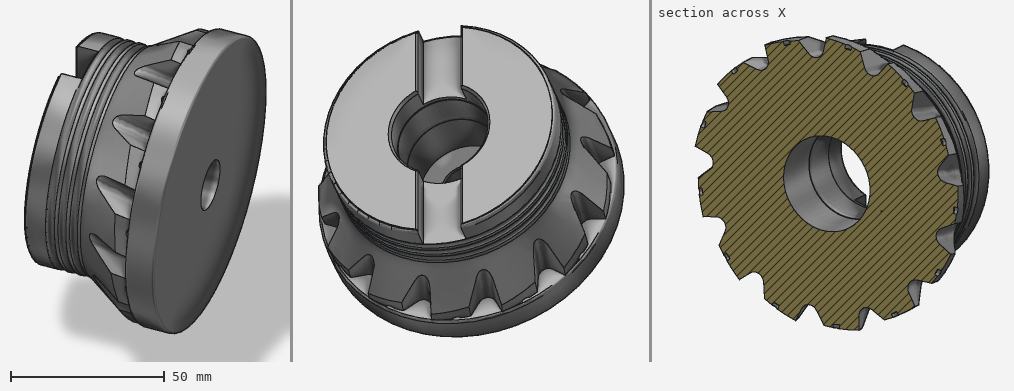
import cadquery as cq
import math

length = 50.1
flange_radius = 50.0
flange_start = 39.9
flange_fillet = 0.8
neck_radius = 39.0
neck_fillet = 1.0
lip_radius = 37.8
lip_length = 0.5
cone_start = 20.0
cone_angle = 32.6
crown_radius = 49.4

groove_centers = (9.5, 13.5, 17.5)
groove_arc_radius = 1.5
groove_edge_width = 3.3
groove_edge_radius = 0.3
groove_clearance = 0.1

slot_width = 14.4
slot_depth = 8.0
slot_chamfer = 0.6

bore_radius = 16.0
bore_chamfer = 1.0
bore_depth = 40.0
bore_step_height = 0.15
entry_end = 9.4
ring_start = 20.8
ring_end = 22.6
ring_bevel = 0.8
entry_bevel = 0.3
hole_radius = 8.5
hole_chamfer = 0.5

tooth_count = 13
tooth_pitch = 360.0 / tooth_count
tooth_step_angle = -3.0
tooth_high_radius = 49.6
tooth_low_radius = 47.4

flute_radius = 3.1
flute_center_y = -4.5
flute_center_z = 45.3
flute_steep_angle = 13.7
flute_shallow_angle = 45.0
flute_wall_length = 16.0
flute_skew = 0.19
flute_rise = 0.035
flute_length = 22.0

notch_radius = 1.5
notch_x = 40.5
notch_angle = 9.6
notch_floor_radius = 47.3


def polar(radius, angle):
    """Point (y, z) at an angle measured from +Z toward +Y."""
    return (radius * math.sin(math.radians(angle)), radius * math.cos(math.radians(angle)))


def revolve_about_x(profile):
    """Revolve a closed (x, radius) profile round the X axis."""
    return profile.close().revolve(360, (0, 0, 0), (1, 0, 0))


def make_neck():
    """Front cylinder and cone, up to the front of the flange."""
    crown_start = cone_start + (crown_radius - neck_radius) / math.tan(math.radians(cone_angle))
    fillet_mid = neck_fillet * (1 - math.sqrt(0.5))
    profile = (
        cq.Workplane("XY")
        .lineTo(0, lip_radius)
        .lineTo(lip_length, lip_radius)
        .lineTo(lip_length, neck_radius - neck_fillet)
        .threePointArc(
            (lip_length + fillet_mid, neck_radius - fillet_mid),
            (lip_length + neck_fillet, neck_radius),
        )
        .lineTo(cone_start, neck_radius)
        .lineTo(crown_start, crown_radius)
        .lineTo(flange_start, crown_radius)
        .lineTo(flange_start, 0)
    )
    return revolve_about_x(profile)


def make_groove(center):
    """Round-bottomed ring groove with rounded edges."""
    half_edge = groove_edge_width / 2
    half_arc = half_edge - groove_edge_radius
    arc_end_radius = neck_radius - groove_edge_radius
    arc_sag = groove_arc_radius - math.sqrt(groove_arc_radius**2 - half_arc**2)
    round_inset = groove_edge_radius * (1 - math.sqrt(0.5))
    half_round = half_arc + round_inset
    round_mid_radius = neck_radius - round_inset
    profile = (
        cq.Workplane("XY")
        .moveTo(center - half_edge, neck_radius + groove_clearance)
        .lineTo(center - half_edge, neck_radius)
        .threePointArc((center - half_round, round_mid_radius), (center - half_arc, arc_end_radius))
        .threePointArc((center, arc_end_radius - arc_sag), (center + half_arc, arc_end_radius))
        .threePointArc((center + half_round, round_mid_radius), (center + half_edge, neck_radius))
        .lineTo(center + half_edge, neck_radius + groove_clearance)
    )
    return revolve_about_x(profile)


def make_tooth_outline():
    """Bar whose section is a ring of eccentric arcs, each dropping from a peak to the next step."""
    first = tooth_step_angle
    outline = cq.Workplane("YZ").moveTo(*polar(tooth_high_radius, first))
    for index in range(tooth_count):
        start = first + index * tooth_pitch
        middle = polar((tooth_high_radius + tooth_low_radius) / 2, start + tooth_pitch / 2)
        outline = outline.threePointArc(middle, polar(tooth_low_radius, start + tooth_pitch))
        if index < tooth_count - 1:
            outline = outline.lineTo(*polar(tooth_high_radius, start + tooth_pitch))
    return outline.close().extrude(flange_start)


def make_flute():
    """V cutter with a round bottom, swept forward from the flange along a skewed line."""

    def wall(angle, side):
        direction = polar(1, angle)
        tangent = (
            flute_center_y + side * flute_radius * direction[1],
            flute_center_z - side * flute_radius * direction[0],
        )
        outer = (
            tangent[0] + flute_wall_length * direction[0],
            tangent[1] + flute_wall_length * direction[1],
        )
        return tangent, outer

    steep_tangent, steep_outer = wall(flute_steep_angle, 1)
    shallow_tangent, shallow_outer = wall(-flute_shallow_angle, -1)
    bottom_y, bottom_z = polar(flute_radius, (flute_steep_angle - flute_shallow_angle) / 2)
    section = (
        cq.Workplane("YZ", origin=(flange_start, 0, 0))
        .moveTo(*steep_outer)
        .lineTo(*steep_tangent)
        .threePointArc((flute_center_y - bottom_y, flute_center_z - bottom_z), shallow_tangent)
        .lineTo(*shallow_outer)
        .close()
    )
    sweep = cq.Vector(-1, flute_skew, -flute_rise) * flute_length
    return cq.Workplane(cq.Solid.extrudeLinear(section.val(), [], sweep))


def make_notch():
    """Radial pin that marks the crown of a tooth next to the flange."""
    pin = (
        cq.Workplane("XY", origin=(0, 0, notch_floor_radius))
        .center(notch_x, 0)
        .circle(notch_radius)
        .extrude(flange_radius - notch_floor_radius)
    )
    return pin.rotate((0, 0, 0), (1, 0, 0), -notch_angle)


def make_slot():
    """Slot across the front face with bevelled edges."""
    half = slot_width / 2
    half_open = half + slot_chamfer
    points = [
        (0, -half_open),
        (slot_chamfer, -half),
        (slot_depth, -half),
        (slot_depth, half),
        (slot_chamfer, half),
        (0, half_open),
    ]
    return cq.Workplane("XY").polyline(points).close().extrude(flange_radius, both=True)


def make_bore():
    """Stepped blind bore from the front face and the hole that goes on through the back."""
    wide = bore_radius + bore_step_height
    profile = (
        cq.Workplane("XY")
        .lineTo(0, bore_radius + bore_chamfer)
        .lineTo(bore_chamfer, wide)
        .lineTo(entry_end, wide)
        .lineTo(entry_end + entry_bevel, bore_radius)
        .lineTo(ring_start, bore_radius)
        .lineTo(ring_start + ring_bevel, wide)
        .lineTo(ring_end, wide)
        .lineTo(ring_end, bore_radius)
        .lineTo(bore_depth, bore_radius)
        .lineTo(bore_depth, hole_radius + hole_chamfer)
        .lineTo(bore_depth + hole_chamfer, hole_radius)
        .lineTo(length, hole_radius)
        .lineTo(length, 0)
    )
    return revolve_about_x(profile)


body = make_neck().intersect(make_tooth_outline())

for center in groove_centers:
    body = body.cut(make_groove(center))

flute = make_flute()
notch = make_notch()
for index in range(tooth_count):
    turn = -index * tooth_pitch
    body = body.cut(flute.rotate((0, 0, 0), (1, 0, 0), turn))
    body = body.cut(notch.rotate((0, 0, 0), (1, 0, 0), turn))

flange = (
    cq.Workplane("YZ", origin=(flange_start, 0, 0))
    .circle(flange_radius)
    .extrude(length - flange_start)
    .edges()
    .fillet(flange_fillet)
)

result = body.union(flange).cut(make_slot()).cut(make_bore())